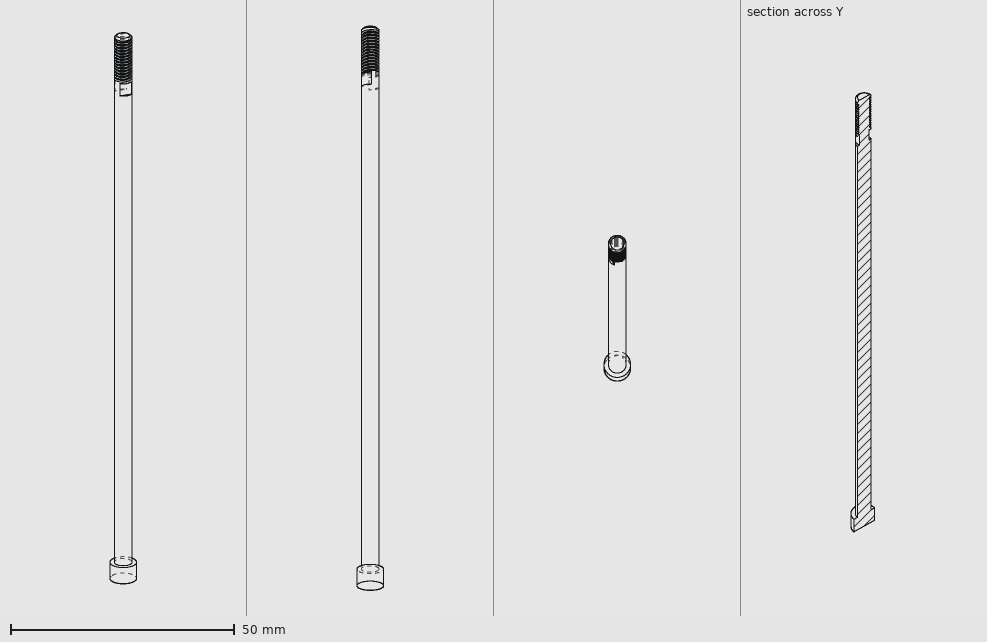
import cadquery as cq

total_length = 133.0
head_diameter = 5.98
head_height = 4.0
shank_diameter = 4.0
tip_chamfer = 0.5

thread_start = 122.0
thread_pitch = 0.7
thread_depth = 0.38
crest_width = thread_pitch / 8
root_width = thread_pitch / 4
groove_end_gap = 0.1
groove_overshoot = 0.03
groove_start_angle = 90.0

flat_length = 3.0
flat_spacing = 2.9

shank_radius = shank_diameter / 2


def make_blank():
    """Head and full-diameter shank with a chamfered tip."""
    head = cq.Workplane("XY").circle(head_diameter / 2).extrude(head_height)
    shank = (
        cq.Workplane("XY")
        .circle(shank_radius)
        .extrude(total_length)
        .faces(">Z")
        .chamfer(tip_chamfer)
    )
    return head.union(shank)


def make_thread_cutter():
    """Right-hand helical cutter with a truncated V section."""
    root_radius = shank_radius - thread_depth
    mouth_radius = shank_radius + groove_overshoot
    groove_half_width = (thread_pitch - crest_width) / 2
    root_half_width = root_width / 2
    flank_slope = (groove_half_width - root_half_width) / thread_depth
    mouth_half_width = groove_half_width + flank_slope * groove_overshoot
    first_turn = thread_start + groove_half_width
    last_turn = total_length - tip_chamfer - groove_end_gap - groove_half_width

    helix = cq.Wire.makeHelix(thread_pitch, last_turn - first_turn, root_radius)
    helix = helix.translate(cq.Vector(0, 0, first_turn))
    section = (
        cq.Workplane("XZ")
        .moveTo(root_radius, first_turn - root_half_width)
        .lineTo(root_radius, first_turn + root_half_width)
        .lineTo(mouth_radius, first_turn + mouth_half_width)
        .lineTo(mouth_radius, first_turn - mouth_half_width)
        .close()
    )
    cutter = section.sweep(cq.Workplane(helix), isFrenet=True)
    return cutter.rotate((0, 0, 0), (0, 0, 1), groove_start_angle)


def make_flat_cutter(side):
    """Block that trims the shank to a flat facing +X (side 1) or -X (side -1)."""
    block = cq.Workplane("XY").box(
        shank_radius, shank_diameter, flat_length, centered=(True, True, False)
    )
    center_x = side * (flat_spacing + shank_radius) / 2
    return block.translate((center_x, 0, thread_start - flat_length))


result = make_blank().cut(make_thread_cutter())
for side in (-1, 1):
    result = result.cut(make_flat_cutter(side))